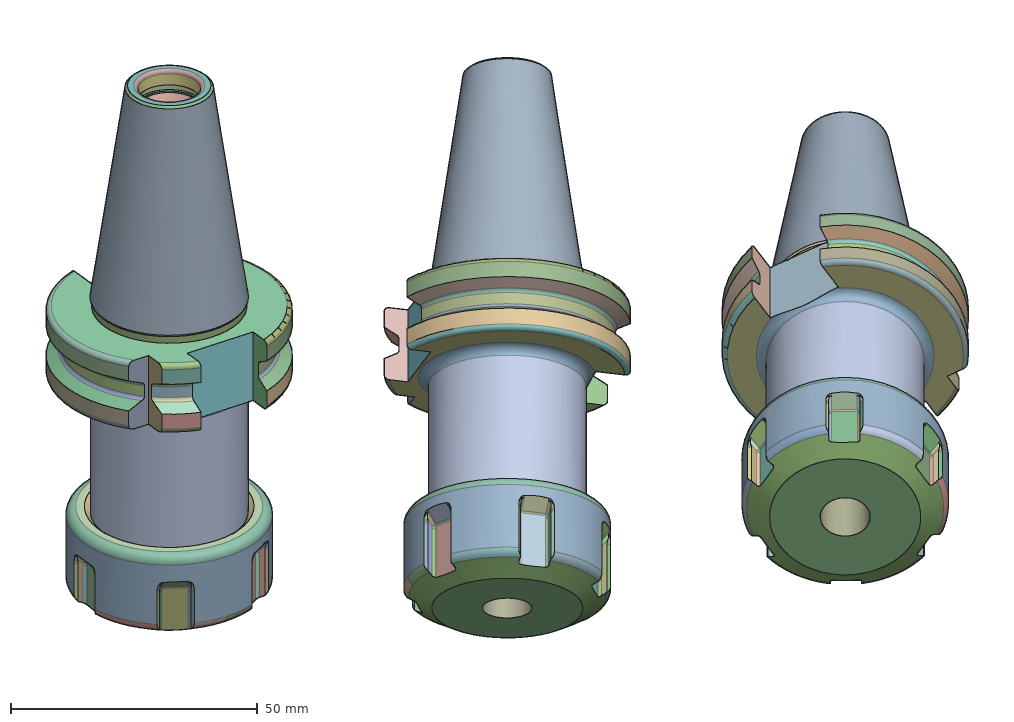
import cadquery as cq
import math


total_length = 117.8
gauge_plane_z = 70.0
shank_taper = 7 / 24
gauge_radius = 15.9

shank_end_chamfer = 0.5
taper_overrun = 1.2
neck_relief_radius = 15.8
neck_relief_ramp = 0.5

flange_top_z = 66.8
flange_height = 15.9
flange_radius = 25.0
flange_edge_fillet = 1.1
groove_center_z = 58.9
groove_width = 7.0
groove_floor_radius = 22.0
groove_half_angle = 30.0
groove_floor_fillet = 1.0

drive_slot_width = 16.0
left_slot_floor_x = -16.4
right_slot_floor_x = 18.6
notch_corner = 15.1

body_radius = 16.0
body_fillet = 2.0
nut_radius = 21.0
nut_height = 20.3
nut_edge_fillet = 2.0
nut_mouth_radius = 17.2
nut_mouth_depth = 1.2
nut_face_radius = 15.3
nut_nose_angle = 30.0

wrench_slot_count = 6
slot_floor_distance = 18.3
slot_half_width = 3.2
slot_inner_fillet = 0.6
slot_rim_flare = 0.6
slot_rim_corner_fillet = 1.2
slot_low_top_z = 14.0
slot_high_top_z = 15.8

bore_radius = 5.1
counterbore_radius = 6.4
mouth_round = 0.8
counterbore_depth = 5.2
counterbore_cone_depth = 1.5
relief_groove_radius = 7.0
relief_groove_top_depth = 3.4
relief_groove_bottom_depth = 4.8

CLEARANCE = 11.8


def make_shank():
    """Taper shank with its relief neck, reaching down into the flange."""
    taper_end_z = gauge_plane_z - taper_overrun
    base_radius = gauge_radius + taper_overrun * shank_taper / 2
    tip_radius = gauge_radius - (total_length - gauge_plane_z) * shank_taper / 2
    return (
        cq.Workplane("XZ")
        .moveTo(0, groove_center_z)
        .lineTo(neck_relief_radius, groove_center_z)
        .lineTo(neck_relief_radius, taper_end_z - neck_relief_ramp)
        .lineTo(base_radius, taper_end_z)
        .lineTo(tip_radius, total_length)
        .lineTo(0, total_length)
        .close()
        .revolve(360, (0, 0), (0, 1))
        .faces(">Z")
        .chamfer(shank_end_chamfer)
    )


def make_flange():
    """Round flange with a filleted V groove, three cut-outs and the body fillet below."""
    bottom_z = flange_top_z - flange_height
    disc = (
        cq.Workplane("XY", origin=(0, 0, bottom_z))
        .circle(flange_radius)
        .extrude(flange_height)
        .edges()
        .fillet(flange_edge_fillet)
    )

    flank_rise = (flange_radius - groove_floor_radius) * math.tan(math.radians(groove_half_angle))
    floor_half = groove_width / 2 - flank_rise
    outer_radius = flange_radius + CLEARANCE
    groove = (
        cq.Workplane("XZ")
        .moveTo(outer_radius, groove_center_z - groove_width / 2)
        .lineTo(flange_radius, groove_center_z - groove_width / 2)
        .lineTo(groove_floor_radius, groove_center_z - floor_half)
        .lineTo(groove_floor_radius, groove_center_z + floor_half)
        .lineTo(flange_radius, groove_center_z + groove_width / 2)
        .lineTo(outer_radius, groove_center_z + groove_width / 2)
        .close()
        .revolve(360, (0, 0), (0, 1))
        .edges(cq.selectors.RadiusNthSelector(0))
        .fillet(groove_floor_fillet)
    )

    body_collar = (
        cq.Workplane("XZ")
        .moveTo(0, bottom_z)
        .lineTo(body_radius + body_fillet, bottom_z)
        .radiusArc((body_radius, bottom_z - body_fillet), -body_fillet)
        .lineTo(0, bottom_z - body_fillet)
        .close()
        .revolve(360, (0, 0), (0, 1))
    )

    flange = disc.cut(groove).union(body_collar)
    for cutter in make_flange_cutters(bottom_z):
        flange = flange.cut(cutter)
    return flange


def make_flange_cutters(bottom_z):
    """Two drive slots of unequal depth and one corner notch."""
    cutter_z = bottom_z - body_fillet
    cutter_height = flange_top_z + CLEARANCE - cutter_z
    far = flange_radius + CLEARANCE

    def block(x_start, y_start, x_size, y_size):
        return (
            cq.Workplane("XY", origin=(x_start, y_start, cutter_z))
            .box(x_size, y_size, cutter_height, centered=False)
        )

    half_slot = drive_slot_width / 2
    return [
        block(-far, -half_slot, far + left_slot_floor_x, drive_slot_width),
        block(right_slot_floor_x, -half_slot, far - right_slot_floor_x, drive_slot_width),
        block(notch_corner, -far, far - notch_corner, far - notch_corner),
    ]


def make_nut():
    """Clamping nut with rounded edges, a conical nose and wrench slots."""
    nose_height = (nut_radius - nut_face_radius) * math.tan(math.radians(nut_nose_angle))
    nut = (
        cq.Workplane("XZ")
        .lineTo(nut_face_radius, 0)
        .lineTo(nut_radius, nose_height)
        .lineTo(nut_radius, nut_height)
        .lineTo(nut_mouth_radius, nut_height)
        .lineTo(body_radius, nut_height - nut_mouth_depth)
        .lineTo(0, nut_height - nut_mouth_depth)
        .close()
        .revolve(360, (0, 0), (0, 1))
        .edges(cq.selectors.RadiusNthSelector(-1))
        .fillet(nut_edge_fillet)
    )
    pitch = 360 / wrench_slot_count
    for index in range(wrench_slot_count):
        angle = pitch / 2 + index * pitch
        top_z = slot_high_top_z if angle < 180 else slot_low_top_z
        nut = nut.cut(make_wrench_slot_cutter(top_z).rotate((0, 0, 0), (0, 0, 1), angle))
    return nut


def make_wrench_slot_cutter(top_z):
    """Slot cutter pointing along +X, open downwards, with a 45 degree sloping top."""
    far_x = nut_radius + CLEARANCE
    rim_half_width = slot_half_width + slot_rim_flare
    rim_x = math.sqrt(nut_radius ** 2 - rim_half_width ** 2)

    def prism(start_x, half_width, corner_fillet):
        """Block from start_x outwards; its top slopes through top_z at the nut rim."""
        return (
            cq.Workplane("XZ", origin=(0, half_width, 0))
            .moveTo(start_x, -CLEARANCE)
            .lineTo(far_x, -CLEARANCE)
            .lineTo(far_x, top_z + far_x - rim_x)
            .lineTo(start_x, top_z + start_x - rim_x)
            .close()
            .extrude(2 * half_width)
            .faces(">Z")
            .edges("not |Y")
            .edges("not |Z")
            .fillet(corner_fillet)
        )

    pocket = prism(slot_floor_distance, slot_half_width, slot_inner_fillet)
    pocket = pocket.faces("<X").edges("not <Z").fillet(slot_inner_fillet)
    flare = prism(rim_x - slot_rim_flare, rim_half_width, slot_rim_corner_fillet)
    flare = flare.faces("<X").edges("not <Z").chamfer(slot_rim_flare)
    return pocket.union(flare)


def make_bore():
    """Through bore with a grooved counterbore and a rounded mouth at the shank end."""
    counterbore_floor_z = total_length - counterbore_depth
    bore = (
        cq.Workplane("XZ")
        .moveTo(0, -CLEARANCE)
        .lineTo(bore_radius, -CLEARANCE)
        .lineTo(bore_radius, counterbore_floor_z - counterbore_cone_depth)
        .lineTo(counterbore_radius, counterbore_floor_z)
        .lineTo(counterbore_radius, total_length - mouth_round)
        .radiusArc((counterbore_radius + mouth_round, total_length), mouth_round)
        .lineTo(0, total_length)
        .close()
        .revolve(360, (0, 0), (0, 1))
    )
    relief_groove = (
        cq.Workplane("XY", origin=(0, 0, total_length - relief_groove_bottom_depth))
        .circle(relief_groove_radius)
        .extrude(relief_groove_bottom_depth - relief_groove_top_depth)
    )
    return bore.union(relief_groove)


def make_body():
    """Cylinder running from inside the nut up into the flange."""
    start_z = nut_height / 2
    return (
        cq.Workplane("XY", origin=(0, 0, start_z))
        .circle(body_radius)
        .extrude(groove_center_z - start_z)
    )


result = make_shank().union(make_flange()).union(make_body()).union(make_nut()).cut(make_bore())